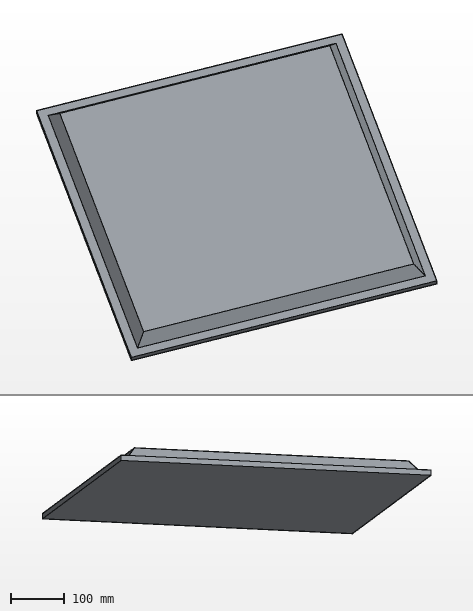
import cadquery as cq

plate_side = 595.0
plate_thickness = 10.0

total_height = 32.0
panel_foot_margin = 17.0
panel_top_margin = 34.5

panel_height = total_height - plate_thickness
panel_foot_side = plate_side - 2 * panel_foot_margin
panel_top_side = plate_side - 2 * panel_top_margin

plate = cq.Workplane("XY").rect(plate_side, plate_side).extrude(plate_thickness)

panel = (
    cq.Workplane("XY")
    .workplane(offset=plate_thickness)
    .rect(panel_foot_side, panel_foot_side)
    .workplane(offset=panel_height)
    .rect(panel_top_side, panel_top_side)
    .loft(ruled=True)
)

result = plate.union(panel)